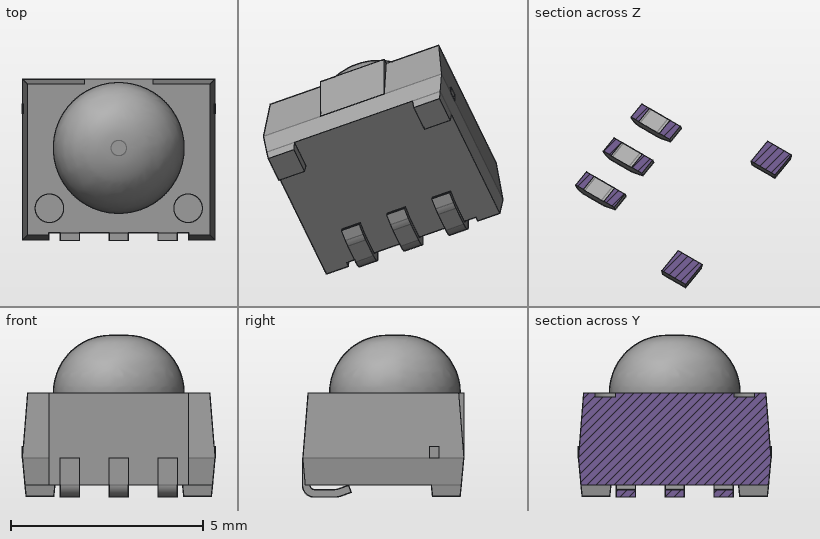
import cadquery as cq
import math


BELT_WIDTH = 5.01
BELT_DEPTH = 4.185
BODY_CENTER_Y = -0.3
BODY_BOTTOM_Z = 0.31
BELT_Z = 1.025
BODY_TOP_Z = 2.71
TOP_INSET = 0.135
BOTTOM_INSET = 0.065
BELT_BACK_Y = BODY_CENTER_Y + BELT_DEPTH / 2
BODY_HEIGHT = BODY_TOP_Z - BODY_BOTTOM_Z

RECESS_WIDTH = 3.635
RECESS_WALL_Y = -2.205

PAD_RELIEF = 0.005
BACK_PAD_WIDTH = 1.79
BACK_PAD_Y = BELT_BACK_Y + PAD_RELIEF
BACK_PAD_THICKNESS = 0.25
SIDE_PAD_LENGTH = 0.245
SIDE_PAD_HEIGHT = 0.295
SIDE_PAD_Y = 1.025
SIDE_PAD_THICKNESS = 0.25

DOME_TOP_Z = 4.21
DOME_RADIUS = 1.7
DOME_HEIGHT = DOME_TOP_Z - BODY_TOP_Z
DOME_FLAT_RADIUS = DOME_RADIUS - DOME_HEIGHT

POCKET_RADIUS = 0.37
POCKET_DEPTH = 0.1
POCKET_X = 1.8
POCKET_Y = -1.565

FOOT_SIZE = 0.785
FOOT_BOTTOM_Z = 0.02
FOOT_INSET = 0.03
FOOT_X = BELT_WIDTH / 2 - BOTTOM_INSET - FOOT_SIZE / 2
FOOT_Y = BELT_BACK_Y - BOTTOM_INSET - FOOT_SIZE / 2

LEAD_WIDTH = 0.5
LEAD_PITCH = 1.27
LEAD_THICKNESS = 0.2
LEAD_FRONT_Y = RECESS_WALL_Y - LEAD_THICKNESS
HEEL_INNER_RADIUS = 0.11
HEEL_OUTER_RADIUS = HEEL_INNER_RADIUS + LEAD_THICKNESS
TOE_BEND_Y = -1.565
TOE_OUTER_RADIUS = 0.49
TOE_ANGLE = 20.0
TOE_LENGTH = 0.28


def frustum(lower_size, lower_z, upper_size, upper_z, center=(0, 0)):
    """Tapered block between two centred rectangles."""
    return (
        cq.Workplane("XY", origin=(center[0], center[1], lower_z))
        .rect(*lower_size)
        .workplane(offset=upper_z - lower_z)
        .rect(*upper_size)
        .loft(ruled=True)
    )


def shrunk(size, inset):
    """Rectangle size after moving every side inward by the inset."""
    return size[0] - 2 * inset, size[1] - 2 * inset


def box_between(low, high):
    """Box spanning two opposite corners."""
    lengths = [b - a for a, b in zip(low, high)]
    return cq.Workplane("XY", origin=low).box(*lengths, centered=False)


def make_body():
    belt = (BELT_WIDTH, BELT_DEPTH)
    center = (0, BODY_CENTER_Y)
    lower = frustum(shrunk(belt, BOTTOM_INSET), BODY_BOTTOM_Z, belt, BELT_Z, center)
    upper = frustum(belt, BELT_Z, shrunk(belt, TOP_INSET), BODY_TOP_Z, center)
    recess = box_between(
        (-RECESS_WIDTH / 2, RECESS_WALL_Y - BODY_HEIGHT, BODY_BOTTOM_Z),
        (RECESS_WIDTH / 2, RECESS_WALL_Y, BODY_TOP_Z),
    )
    return lower.union(upper).cut(recess)


def make_back_pad():
    return box_between(
        (-BACK_PAD_WIDTH / 2, BACK_PAD_Y - BACK_PAD_THICKNESS, BELT_Z),
        (BACK_PAD_WIDTH / 2, BACK_PAD_Y, BODY_TOP_Z),
    )


def make_side_pad(side):
    outer_x = BELT_WIDTH / 2 + PAD_RELIEF
    center_x = side * (outer_x - SIDE_PAD_THICKNESS / 2)
    return cq.Workplane("XY", origin=(center_x, SIDE_PAD_Y, BELT_Z)).box(
        SIDE_PAD_THICKNESS, SIDE_PAD_LENGTH, SIDE_PAD_HEIGHT, centered=(True, True, False)
    )


def make_foot(side):
    top = (FOOT_SIZE, FOOT_SIZE)
    bottom = shrunk(top, FOOT_INSET)
    return frustum(bottom, FOOT_BOTTOM_Z, top, BODY_BOTTOM_Z, (side * FOOT_X, FOOT_Y))


def make_dome():
    bend = DOME_HEIGHT * math.sqrt(0.5)
    return (
        cq.Workplane("XZ")
        .moveTo(0, BODY_TOP_Z)
        .lineTo(DOME_RADIUS, BODY_TOP_Z)
        .threePointArc((DOME_FLAT_RADIUS + bend, BODY_TOP_Z + bend), (DOME_FLAT_RADIUS, DOME_TOP_Z))
        .lineTo(0, DOME_TOP_Z)
        .close()
        .revolve(360, (0, 0), (0, 1))
    )


def make_pockets():
    return (
        cq.Workplane("XY", origin=(0, 0, BODY_TOP_Z - POCKET_DEPTH))
        .pushPoints([(-POCKET_X, POCKET_Y), (POCKET_X, POCKET_Y)])
        .circle(POCKET_RADIUS)
        .extrude(POCKET_DEPTH)
    )


def make_lead(center_x):
    heel_y = LEAD_FRONT_Y + HEEL_OUTER_RADIUS
    heel_z = HEEL_OUTER_RADIUS
    toe_angle = math.radians(TOE_ANGLE)

    def heel_middle(radius):
        reach = radius * math.sqrt(0.5)
        return heel_y - reach, heel_z - reach

    def toe_point(radius, angle):
        return TOE_BEND_Y + radius * math.sin(angle), TOE_OUTER_RADIUS - radius * math.cos(angle)

    def toe_tip(radius):
        y, z = toe_point(radius, toe_angle)
        return y + TOE_LENGTH * math.cos(toe_angle), z + TOE_LENGTH * math.sin(toe_angle)

    toe_inner_radius = TOE_OUTER_RADIUS - LEAD_THICKNESS
    return (
        cq.Workplane("YZ", origin=(center_x, 0, 0))
        .moveTo(LEAD_FRONT_Y, BELT_Z)
        .lineTo(LEAD_FRONT_Y, heel_z)
        .threePointArc(heel_middle(HEEL_OUTER_RADIUS), (heel_y, 0))
        .lineTo(TOE_BEND_Y, 0)
        .threePointArc(toe_point(TOE_OUTER_RADIUS, toe_angle / 2), toe_point(TOE_OUTER_RADIUS, toe_angle))
        .lineTo(*toe_tip(TOE_OUTER_RADIUS))
        .lineTo(*toe_tip(toe_inner_radius))
        .lineTo(*toe_point(toe_inner_radius, toe_angle))
        .threePointArc(toe_point(toe_inner_radius, toe_angle / 2), (TOE_BEND_Y, LEAD_THICKNESS))
        .lineTo(heel_y, LEAD_THICKNESS)
        .threePointArc(heel_middle(HEEL_INNER_RADIUS), (RECESS_WALL_Y, heel_z))
        .lineTo(RECESS_WALL_Y, BELT_Z)
        .close()
        .extrude(LEAD_WIDTH / 2, both=True)
    )


result = make_body().union(make_back_pad())
for side in (-1, 1):
    result = result.union(make_side_pad(side)).union(make_foot(side))
result = result.union(make_dome()).cut(make_pockets())
for position in (-1, 0, 1):
    result = result.union(make_lead(position * LEAD_PITCH))